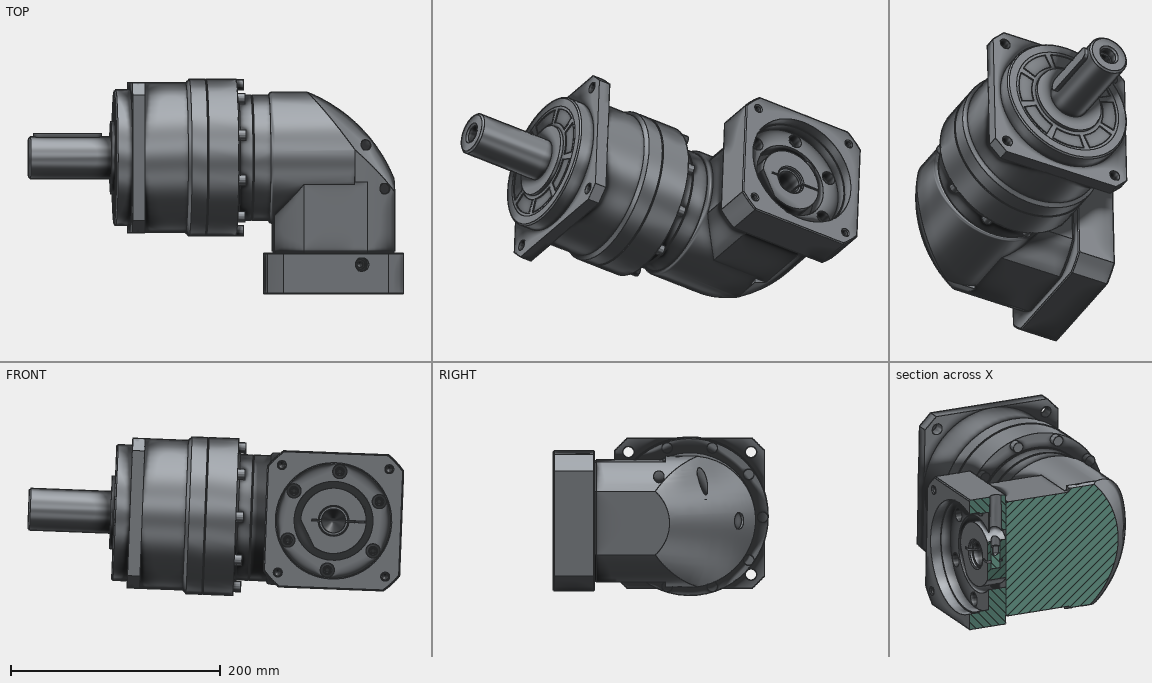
import cadquery as cq
import math

TILT = 2.2

COLLAR_FRONT = 78.5
NOSE_FRONT = 81.7
FLANGE_FRONT = 96.8
FLANGE_THICK = 12.0
BARREL_END = 149.8
RING_FRONT = 168.8
RING_BACK = 198.0
ADAPTER_BACK = 212.5
ELBOW_FRONT = 229.0
INPUT_X = 291.0

NECK_START = 89.0
PLATE_BACK = 90.5
PLATE_FACE = 130.0

SHAFT_R = 20.0
COLLAR_R = 34.8
COLLAR_BACK = 89.5
TIP_CHAMFER = 1.8
CENTRE_DRILL_R = 6.0
CENTRE_DRILL_DEPTH = 28.5
CENTRE_CBORE_R = 8.2
CENTRE_CBORE_DEPTH = 9.3
CENTRE_CHAMFER = 1.8
KEY_START = 4.5
KEY_LENGTH = 65.2
KEY_WIDTH = 12.2
KEY_TOP = 23.3
KEY_BOTTOM = 14.5

COVER_R = 55.5
POCKET_COUNT = 8
POCKET_INNER_R = 38.7
POCKET_OUTER_R = 52.7
POCKET_HALF_ANGLE = 18.7
POCKET_DEPTH = 1.0

NOSE_R = 65.0
NOSE_CHAMFER = 1.5
FLANGE_SIDE = 143.0
FLANGE_CHAMFER = 12.0
FLANGE_HOLE_R = 5.5
FLANGE_HOLE_PITCH = 117.0
BARREL_R = FLANGE_SIDE / 2
RING_R = 75.0
JOINT_CHAMFER = 0.7
BOLT_COUNT = 10
BOLT_CIRCLE_R = 69.5
BOLT_R = 5.0
BOLT_HEIGHT = 7.0
ADAPTER_R = 60.0
SHOULDER_R = 60.5
SHOULDER_LENGTH = 2.0

ELBOW_R = 62.7
ELBOW_FILLET = 3.5
OUTPUT_LEG_END = INPUT_X + 18.0
LEG_R = 65.0
LEG_FLAT = 57.5
NECK_INSET = 0.7
DOME_ARC_R = 148.7
DOME_CROSS_R = 107.5
DOME_OFFSET_X = 80.3
DOME_OFFSET_Y = 75.5
CORNER_ROUND_END = 23.3
VENT_R = 8.0
VENT_DEPTH = 3.0
VENT_X = 3.5
VENT_Y = 47.3
DOME_HOLE_R = 5.0
DOME_HOLE_PLACES = [(47.3, -29.5), (29.5, 12.2)]
DOME_HOLE_FLOOR = 21.5

PLATE_SIDE = 130.0
PLATE_CORNER_R = 82.0
PLATE_CHAMFER = 1.0
REGISTER_R = 55.5
REGISTER_DEPTH = 10.8
RECESS_R = 54.5
RECESS_DEPTH = 20.8
HUB_POCKET_R = 37.5
CORNER_HOLE_PITCH = 102.5
CORNER_HOLE_DEPTH = 18.0
TAP_R = 3.2
TAP_MOUTH_R = 4.3
TAP_MOUTH_DEPTH = 1.0
PLATE_SCREW_COUNT = 6
PLATE_SCREW_CIRCLE_R = 47.3
PLATE_SCREW_ANGLE = 25.0
PLATE_CBORE_R = 6.8
PLATE_CBORE_DEPTH = 10.8
PLATE_SCREW_HOLE_DEPTH = 7.0
DRILL_HALF_ANGLE = 59.0

HUB_FACE = 110.7
HUB_R = 31.0
HUB_STEM_R = 19.7
HUB_STEM_END = 53.8
HUB_BORE_R = 11.5
HUB_BORE_DEPTH = 43.0
HUB_CBORE_R = 13.5
HUB_CBORE_DEPTH = 3.5
HUB_CHAMFER = 1.0
HUB_FLAT_DISTANCE = 27.5
HUB_FLAT_ANGLE = 208.3
SLIT_WIDTH = 1.8
SLIT_DEPTH = 16.5
SLIT_SHORT_END = 20.8

CLAMP_X = INPUT_X + 24.7
CLAMP_Y = -101.8
CLAMP_ACCESS_R = 6.5
CLAMP_R = 4.5
CLAMP_TOP = 14.5
CLAMP_BOTTOM = -7.0
CLAMP_SOCKET_R = 3.0
CLAMP_SOCKET_DEPTH = 7.0


def output_plane(x):
    """Workplane across the output axis, facing +X."""
    return cq.Workplane("YZ", origin=(x, 0, 0))


def input_plane(distance):
    """Workplane across the input axis, facing outward (-Y)."""
    return cq.Workplane("XZ", origin=(INPUT_X, -distance, 0))


def output_disc(radius, start, end):
    return output_plane(start).circle(radius).extrude(end - start)


def input_disc(radius, inner, outer):
    return input_plane(inner).circle(radius).extrude(outer - inner)


def drill(radius, depth):
    """Half profile of a pointed drill hole, as (radius, depth) points."""
    tip = depth + radius / math.tan(math.radians(DRILL_HALF_ANGLE))
    return [(radius, depth), (0, tip)]


def input_drill(mouth_profile, radius, depth, face, x=0.0, z=0.0):
    """Cutter entering from an input-side face: stepped mouth, bore and conical point."""
    profile = [(0, 0)] + mouth_profile + drill(radius, depth)
    points = [(r, d - face) for r, d in profile]
    cutter = cq.Workplane("XY").polyline(points).close().revolve(360, (0, 0, 0), (0, 1, 0))
    return cutter.translate((INPUT_X + x, 0, z))


def tapped_hole(depth, face, x, z):
    mouth = [(TAP_MOUTH_R, 0), (TAP_R, TAP_MOUTH_DEPTH)]
    return input_drill(mouth, TAP_R, depth, face, x, z)


def polar(radius, angle):
    turn = math.radians(angle)
    return radius * math.cos(turn), radius * math.sin(turn)


def make_key():
    middle = KEY_START + KEY_LENGTH / 2
    plane = cq.Workplane("XZ", origin=(middle, KEY_BOTTOM, 0))
    return plane.slot2D(KEY_LENGTH, KEY_WIDTH).extrude(KEY_BOTTOM - KEY_TOP)


def make_shaft():
    shaft = output_disc(SHAFT_R, 0, COLLAR_FRONT).faces("<X").chamfer(TIP_CHAMFER)
    shaft = shaft.union(output_disc(COLLAR_R, COLLAR_FRONT, COLLAR_BACK))
    profile = [(0, 0), (0, CENTRE_CBORE_R + CENTRE_CHAMFER), (CENTRE_CHAMFER, CENTRE_CBORE_R)]
    profile += [(CENTRE_CBORE_DEPTH, CENTRE_CBORE_R), (CENTRE_CBORE_DEPTH, CENTRE_DRILL_R)]
    profile += [(d, r) for r, d in drill(CENTRE_DRILL_R, CENTRE_DRILL_DEPTH)]
    centre_hole = cq.Workplane("XY").polyline(profile).close().revolve(360, (0, 0, 0), (1, 0, 0))
    return shaft.cut(centre_hole).cut(make_key())


def make_cover():
    """Front ring around the shaft collar, with shallow sector pockets."""
    cover = output_disc(COVER_R, NOSE_FRONT, COLLAR_BACK)
    cover = cover.cut(output_disc(COLLAR_R, NOSE_FRONT, COLLAR_BACK))
    for i in range(POCKET_COUNT):
        angle = i * 360 / POCKET_COUNT
        first = angle - POCKET_HALF_ANGLE
        last = angle + POCKET_HALF_ANGLE
        pocket = (
            output_plane(NOSE_FRONT)
            .moveTo(*polar(POCKET_INNER_R, first))
            .lineTo(*polar(POCKET_OUTER_R, first))
            .threePointArc(polar(POCKET_OUTER_R, angle), polar(POCKET_OUTER_R, last))
            .lineTo(*polar(POCKET_INNER_R, last))
            .threePointArc(polar(POCKET_INNER_R, angle), polar(POCKET_INNER_R, first))
            .close()
            .extrude(POCKET_DEPTH)
        )
        cover = cover.cut(pocket)
    return cover


def make_front_housing():
    rim = RING_R - BARREL_R
    nose = output_disc(NOSE_R, NOSE_FRONT, FLANGE_FRONT).faces("<X").chamfer(NOSE_CHAMFER)
    flange = (
        output_plane(FLANGE_FRONT)
        .rect(FLANGE_SIDE, FLANGE_SIDE)
        .extrude(FLANGE_THICK)
        .edges("|X")
        .chamfer(FLANGE_CHAMFER)
    )
    holes = (
        output_plane(FLANGE_FRONT)
        .rect(FLANGE_HOLE_PITCH, FLANGE_HOLE_PITCH, forConstruction=True)
        .vertices()
        .circle(FLANGE_HOLE_R)
        .extrude(FLANGE_THICK)
    )
    barrel = output_disc(BARREL_R, FLANGE_FRONT + FLANGE_THICK, BARREL_END)
    collar = output_disc(RING_R, BARREL_END, RING_FRONT)
    collar = collar.faces("<X").chamfer(rim).faces(">X").chamfer(JOINT_CHAMFER)
    seat = output_disc(COVER_R, NOSE_FRONT, COLLAR_BACK)
    return nose.union(flange.cut(holes)).union(barrel).union(collar).cut(seat)


def make_gear_ring():
    ring = output_disc(RING_R, RING_FRONT, RING_BACK).faces("<X").chamfer(JOINT_CHAMFER)
    bolts = (
        output_plane(RING_BACK)
        .polarArray(BOLT_CIRCLE_R, 0, 360, BOLT_COUNT)
        .circle(BOLT_R)
        .extrude(BOLT_HEIGHT)
    )
    return ring.union(bolts)


def make_adapter():
    adapter = output_disc(ADAPTER_R, RING_BACK, ADAPTER_BACK).faces(">X").chamfer(JOINT_CHAMFER)
    return adapter.union(output_disc(SHOULDER_R, RING_BACK, RING_BACK + SHOULDER_LENGTH))


def input_leg(inset, inner, outer):
    """Round leg along the input axis with four flats."""
    width = 2 * (LEG_FLAT - inset)
    square = input_plane(inner).rect(width, width).extrude(outer - inner)
    return input_disc(LEG_R - inset, inner, outer).intersect(square)


def make_dome():
    """Spindle that rounds off the outer corner: an arc turned about a 45 degree axis."""
    axis_depth = DOME_ARC_R - DOME_CROSS_R
    half_length = math.sqrt(DOME_ARC_R**2 - axis_depth**2)
    spindle = (
        cq.Workplane("XY")
        .moveTo(-half_length, 0)
        .threePointArc((0, DOME_CROSS_R), (half_length, 0))
        .close()
        .revolve(360, (0, 0, 0), (1, 0, 0))
    )
    shift = axis_depth / math.sqrt(2)
    axis_centre = (INPUT_X - DOME_OFFSET_X + shift, shift - DOME_OFFSET_Y, 0)
    return spindle.rotate((0, 0, 0), (0, 0, 1), -45).translate(axis_centre)


def make_outer_corner():
    """Round continuation of the input leg beyond the end of the output leg, up to the dome."""
    box_length = INPUT_X + LEG_FLAT - OUTPUT_LEG_END
    box = cq.Workplane("XY", origin=(OUTPUT_LEG_END, 0, 0)).box(
        box_length, 2 * ELBOW_R, 2 * LEG_R, centered=(False, True, True)
    )
    return input_disc(LEG_R, -ELBOW_R, CORNER_ROUND_END).intersect(box)


def make_vent():
    """Shallow round recess sunk into the dome along its surface normal."""
    normal = cq.Vector(VENT_X + DOME_OFFSET_X, VENT_Y + DOME_OFFSET_Y, 0).normalized()
    dome_centre = cq.Vector(INPUT_X - DOME_OFFSET_X, -DOME_OFFSET_Y, 0)
    floor = dome_centre + normal * (DOME_ARC_R - VENT_DEPTH)
    return cq.Workplane(cq.Plane(floor, normal=normal)).circle(VENT_R).extrude(2 * VENT_DEPTH)


def make_elbow():
    spigot = output_disc(ADAPTER_R, ADAPTER_BACK, ELBOW_FRONT).faces("<X").chamfer(JOINT_CHAMFER)
    output_leg = output_disc(ELBOW_R, ELBOW_FRONT, OUTPUT_LEG_END).faces("<X").fillet(ELBOW_FILLET)
    elbow = output_leg.union(input_leg(0, 0, NECK_START)).union(make_outer_corner())
    elbow = elbow.intersect(make_dome()).cut(make_vent())
    elbow = elbow.union(spigot).union(input_leg(NECK_INSET, NECK_START, PLATE_BACK))
    holes = (
        cq.Workplane("XY", origin=(INPUT_X, 0, DOME_HOLE_FLOOR))
        .pushPoints(DOME_HOLE_PLACES)
        .circle(DOME_HOLE_R)
        .extrude(ELBOW_R)
    )
    return elbow.cut(holes).cut(input_disc(HUB_STEM_R, HUB_STEM_END, PLATE_BACK))


def make_input_plate():
    thickness = PLATE_FACE - PLATE_BACK
    square = input_plane(PLATE_BACK).rect(PLATE_SIDE, PLATE_SIDE).extrude(thickness)
    plate = input_disc(PLATE_CORNER_R, PLATE_BACK, PLATE_FACE).intersect(square)
    plate = plate.faces("<Y or >Y").chamfer(PLATE_CHAMFER)

    floor = PLATE_FACE - RECESS_DEPTH
    plate = plate.cut(input_disc(REGISTER_R, PLATE_FACE - REGISTER_DEPTH, PLATE_FACE))
    plate = plate.cut(input_disc(RECESS_R, floor, PLATE_FACE))
    plate = plate.cut(input_disc(HUB_POCKET_R, PLATE_BACK, PLATE_FACE))

    reach = CORNER_HOLE_PITCH / 2
    for x in (-reach, reach):
        for z in (-reach, reach):
            plate = plate.cut(tapped_hole(CORNER_HOLE_DEPTH, PLATE_FACE, x, z))

    seat = floor - PLATE_CBORE_DEPTH
    for i in range(PLATE_SCREW_COUNT):
        angle = PLATE_SCREW_ANGLE + i * 360 / PLATE_SCREW_COUNT
        x, z = polar(PLATE_SCREW_CIRCLE_R, angle)
        counterbore = input_plane(seat).center(x, z).circle(PLATE_CBORE_R).extrude(PLATE_CBORE_DEPTH)
        plate = plate.cut(counterbore).cut(tapped_hole(PLATE_SCREW_HOLE_DEPTH, seat, x, z))

    access = cq.Workplane("XY", origin=(CLAMP_X, CLAMP_Y, 0)).circle(CLAMP_ACCESS_R).extrude(PLATE_SIDE)
    return plate.cut(access)


def make_hub():
    hub = input_disc(HUB_R, PLATE_BACK, HUB_FACE)
    flat = (
        cq.Workplane("XY")
        .box(HUB_R, 2 * PLATE_FACE, 2 * HUB_R, centered=(False, True, True))
        .translate((HUB_FLAT_DISTANCE, 0, 0))
        .rotate((0, 0, 0), (0, 1, 0), -HUB_FLAT_ANGLE)
        .translate((INPUT_X, 0, 0))
    )
    hub = hub.cut(flat).union(input_disc(HUB_STEM_R, HUB_STEM_END, PLATE_BACK))
    mouth = [(HUB_CBORE_R + HUB_CHAMFER, 0), (HUB_CBORE_R, HUB_CHAMFER)]
    mouth += [(HUB_CBORE_R, HUB_CBORE_DEPTH), (HUB_BORE_R, HUB_CBORE_DEPTH)]
    hub = hub.cut(input_drill(mouth, HUB_BORE_R, HUB_BORE_DEPTH, HUB_FACE))
    slit_length = SLIT_SHORT_END + HUB_R
    slit = (
        input_plane(HUB_FACE - SLIT_DEPTH)
        .center(slit_length / 2 - SLIT_SHORT_END, 0)
        .rect(slit_length, SLIT_WIDTH)
        .extrude(SLIT_DEPTH)
    )
    clamp_bore = (
        cq.Workplane("XY", origin=(CLAMP_X, CLAMP_Y, CLAMP_BOTTOM))
        .circle(CLAMP_R)
        .extrude(HUB_R - CLAMP_BOTTOM)
    )
    return hub.cut(slit).cut(clamp_bore)


def make_clamp_screw():
    """Screw across the hub slit, with a blind socket in its top."""
    screw = cq.Workplane("XY", origin=(CLAMP_X, CLAMP_Y, CLAMP_BOTTOM)).circle(CLAMP_R)
    screw = screw.extrude(CLAMP_TOP - CLAMP_BOTTOM)
    profile = [(0, 0), (CLAMP_SOCKET_R, 0)]
    profile += [(r, -d) for r, d in drill(CLAMP_SOCKET_R, CLAMP_SOCKET_DEPTH)]
    socket = cq.Workplane("XZ").polyline(profile).close().revolve(360, (0, 0, 0), (0, 1, 0))
    return screw.cut(socket.translate((CLAMP_X, CLAMP_Y, CLAMP_TOP)))


bodies = [
    make_shaft(),
    make_key(),
    make_cover(),
    make_front_housing(),
    make_gear_ring(),
    make_adapter(),
    make_elbow(),
    make_input_plate(),
    make_hub(),
    make_clamp_screw(),
]

result = cq.Compound.makeCompound(
    [body.rotate((0, 0, 0), (0, 1, 0), TILT).val() for body in bodies]
)